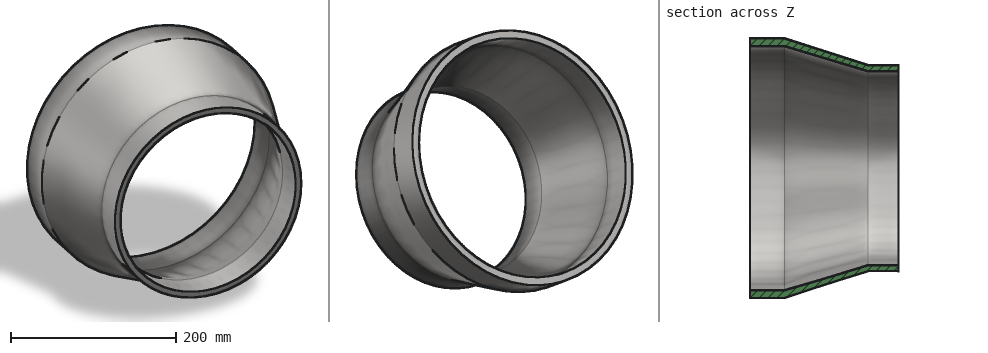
import cadquery as cq

length = 180.0
large_outer_diameter = 315.0
large_inner_diameter = 295.5
small_outer_diameter = 250.0
small_inner_diameter = 234.7
large_collar_length = 42.0
small_collar_length = 37.0

taper_start = large_collar_length
taper_end = length - small_collar_length


def revolved_body(large_diameter, small_diameter):
    """Solid of revolution: large collar, taper and small collar."""
    large_radius = large_diameter / 2
    small_radius = small_diameter / 2
    return (
        cq.Workplane("XY")
        .lineTo(0, large_radius)
        .lineTo(taper_start, large_radius)
        .lineTo(taper_end, small_radius)
        .lineTo(length, small_radius)
        .lineTo(length, 0)
        .close()
        .revolve(360, (0, 0, 0), (1, 0, 0))
    )


outside = revolved_body(large_outer_diameter, small_outer_diameter)
bore = revolved_body(large_inner_diameter, small_inner_diameter)
result = outside.cut(bore)